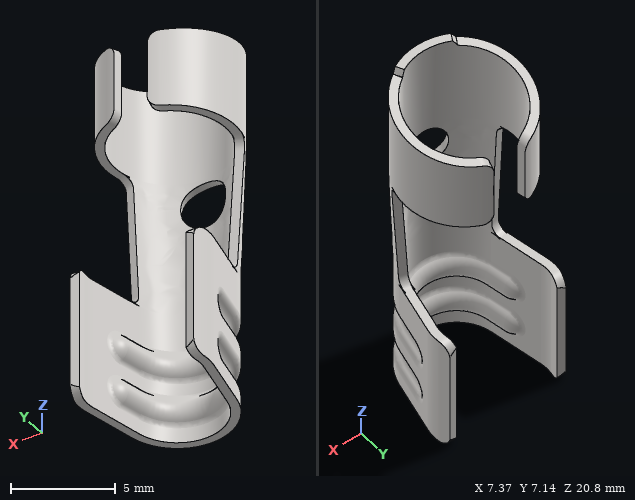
import cadquery as cq
import math


SHEET = 0.5
TOTAL_HEIGHT = 20.75

RING_RADIUS = 3.63
RING_BOTTOM = 14.96
RING_GAP_HALF_ANGLE = 15.0
RING_CORNER = 0.62
RING_TOP_ON_AXIS = 19.92
RING_TOP_SLOPE = 10.0

TAB_HALF_ANGLE = 27.7
TAB_FOOT_HALF_ANGLE = 31.8
TAB_FOOT_Z = 20.44

BARREL_HEIGHT = 7.39
BARREL_RADIUS = 3.05
BARREL_CENTER_Y = BARREL_RADIUS - RING_RADIUS
WALL_FLARE = 12.0
BEND_START_Y = 1.83
BEND_RADIUS = 2.5
WING_TIP_LENGTH = 0.55
WING_CORNER = 0.75

NECK_TOP_HALF_ANGLE = 84.0
NECK_BOTTOM_HALF_ANGLE = 93.0
NECK_FILLET = 0.6
HOLE_Z = 13.49
HOLE_HALF_HEIGHT = 1.27
HOLE_HALF_ANGLE = 24.0

BEAD_HEIGHTS = (1.76, 4.32)
GROOVE_DEPTH = SHEET
GROOVE_RADIUS = 0.58
GROOVE_END_Y = 0.45
LIP_RADIUS = 0.5

BEAD_RISE = SHEET
BEAD_RADIUS = 0.83
BEAD_END_Y = 0.0
ROOT_RADIUS = 0.31

WEDGE_NEAR = 0.4 * RING_RADIUS
WEDGE_FAR = 1.2 * RING_RADIUS
BLOCK = 4 * RING_RADIUS
PICK = 0.06

flare = math.radians(WALL_FLARE)


def polar(radius, degrees_from_front, center_y=0.0):
    """Point on a circle, with the angle counted from the -Y direction towards +X."""
    angle = math.radians(degrees_from_front)
    return (radius * math.sin(angle), center_y - radius * math.cos(angle))


def mirrored(point):
    """The same point on the other side of the YZ plane."""
    return (-point[0], point[1])


def arc_band(workplane, radius, half_angle, center_y=0.0):
    """Sheet-thick arc, centred on the -Y side and cut off radially at both ends."""
    inner = radius - SHEET
    right_out = polar(radius, half_angle, center_y)
    right_in = polar(inner, half_angle, center_y)
    return (
        workplane.moveTo(*mirrored(right_out))
        .threePointArc((0, center_y - radius), right_out)
        .lineTo(*right_in)
        .threePointArc((0, center_y - inner), mirrored(right_in))
        .close()
    )


def wall_tangent(inset):
    """Point where the bottom arc of the barrel, moved inwards by inset, runs into the right wall."""
    return polar(BARREL_RADIUS - inset, 90 - WALL_FLARE, BARREL_CENTER_Y)


def wall_point(inset, y):
    """Point at y on the flared straight wall, the wall being moved inwards by inset."""
    tangent_x, tangent_y = wall_tangent(inset)
    return (tangent_x + (y - tangent_y) * math.tan(flare), y)


def barrel_side(inset):
    """Right-hand points of the barrel outline, from the bottom arc to the wing tip."""
    start_x, start_y = wall_point(0, BEND_START_Y)
    center_x = start_x - BEND_RADIUS * math.cos(flare)
    center_y = start_y + BEND_RADIUS * math.sin(flare)
    radius = BEND_RADIUS - inset
    reach = radius * math.cos(flare)
    rise = radius * math.sin(flare)
    tangent = wall_tangent(inset)
    bend_start = (center_x + reach, center_y - rise)
    bend_middle = (center_x + radius, center_y)
    bend_end = (center_x + reach, center_y + rise)
    tip = (
        bend_end[0] - WING_TIP_LENGTH * math.sin(flare),
        bend_end[1] + WING_TIP_LENGTH * math.cos(flare),
    )
    return tangent, bend_start, bend_middle, bend_end, tip


def barrel_outline(inset):
    """Open U drawn from the left wing tip round to the right wing tip."""
    tangent, bend_start, bend_middle, bend_end, tip = barrel_side(inset)
    return (
        cq.Workplane("XY")
        .moveTo(*mirrored(tip))
        .lineTo(*mirrored(bend_end))
        .threePointArc(mirrored(bend_middle), mirrored(bend_start))
        .lineTo(*mirrored(tangent))
        .threePointArc((0, BARREL_CENTER_Y - BARREL_RADIUS + inset), tangent)
        .lineTo(*bend_start)
        .threePointArc(bend_middle, bend_end)
        .lineTo(*tip)
    )


def wall_rod(z, radius, inset, end_y):
    """Ball-ended rod following the barrel wall at height z, its axis lying inset inside the wall."""
    end = wall_point(inset, end_y)
    tangent = wall_tangent(inset)
    path = (
        cq.Workplane("XY", origin=(0, 0, z))
        .moveTo(*mirrored(end))
        .lineTo(*mirrored(tangent))
        .threePointArc((0, BARREL_CENTER_Y - BARREL_RADIUS + inset), tangent)
        .lineTo(*end)
    )
    start_plane = cq.Plane(
        origin=(-end[0], end[1], z),
        xDir=(0, 0, 1),
        normal=(math.sin(flare), -math.cos(flare), 0),
    )
    rod = cq.Workplane(start_plane).circle(radius).sweep(path)
    for x in (-end[0], end[0]):
        rod = rod.union(cq.Workplane("XY").sphere(radius).translate((x, end[1], z)))
    return rod


def round_front_arcs(body, arc_radius, z, reach, radius):
    """Fillet the arcs of arc_radius around the barrel axis within reach of height z.

    The fillet runs on along the tangent edges round the ball ends.
    """
    half_angle = math.pi / 2 - flare
    y = BARREL_CENTER_Y - arc_radius * math.sin(half_angle) / half_angle
    arcs = cq.selectors.BoxSelector((-PICK, y - PICK, z - reach), (PICK, y + PICK, z + reach))
    return body.edges(arcs).fillet(radius)


def make_barrel():
    """U-shaped wings with rounded corners and two pressed-in beads."""
    outer_tip = barrel_side(0)[-1]
    filled = barrel_outline(0).close().extrude(BARREL_HEIGHT)
    cavity = (
        barrel_outline(SHEET)
        .lineTo(*outer_tip)
        .lineTo(*mirrored(outer_tip))
        .close()
        .extrude(BARREL_HEIGHT)
    )
    depth = RING_RADIUS + outer_tip[1]
    side_shape = (
        cq.Workplane("XY")
        .box(BLOCK, depth, BARREL_HEIGHT, centered=(True, False, False))
        .translate((0, -RING_RADIUS, 0))
        .edges("|X and >Y")
        .fillet(WING_CORNER)
    )
    barrel = filled.cut(cavity).intersect(side_shape)
    for z in BEAD_HEIGHTS:
        bead = wall_rod(z, BEAD_RADIUS, SHEET + BEAD_RISE - BEAD_RADIUS, BEAD_END_Y)
        barrel = barrel.union(bead).intersect(filled)
        barrel = round_front_arcs(barrel, BARREL_RADIUS - SHEET, z, BEAD_RADIUS, ROOT_RADIUS)
    for z in BEAD_HEIGHTS:
        barrel = barrel.cut(wall_rod(z, GROOVE_RADIUS, GROOVE_DEPTH - GROOVE_RADIUS, GROOVE_END_Y))
        barrel = round_front_arcs(barrel, BARREL_RADIUS, z, GROOVE_RADIUS, LIP_RADIUS)
    return barrel


def radial_wedge(outline):
    """Solid through the front wall whose width grows with the distance from the ring axis."""
    sketch = outline(cq.Workplane("XZ", origin=(0, -WEDGE_NEAR, 0)), WEDGE_NEAR)
    far_plane = sketch.workplane(offset=WEDGE_FAR - WEDGE_NEAR)
    return outline(far_plane, WEDGE_FAR).loft(ruled=True)


def tab_outline(workplane, distance):
    """Tab with slanted shoulders, as wide as it is at this distance in front of the ring axis."""
    top = distance * math.tan(math.radians(TAB_HALF_ANGLE))
    foot = distance * math.tan(math.radians(TAB_FOOT_HALF_ANGLE))
    right = [(foot, RING_BOTTOM), (foot, TAB_FOOT_Z), (top, TOTAL_HEIGHT)]
    left = [mirrored(point) for point in reversed(right)]
    return workplane.polyline(right + left).close()


def hole_outline(workplane, distance):
    """Neck hole, as wide as it is at this distance in front of the ring axis."""
    half_width = distance * math.tan(math.radians(HOLE_HALF_ANGLE))
    return workplane.moveTo(0, HOLE_Z).ellipse(half_width, HOLE_HALF_HEIGHT)


def make_ring():
    """Split ring with a sloping top, rounded corners at the gap and a raised tab at the front."""
    base = cq.Workplane("XY", origin=(0, 0, RING_BOTTOM))
    blank = arc_band(base, RING_RADIUS, 180 - RING_GAP_HALF_ANGLE).extrude(TOTAL_HEIGHT - RING_BOTTOM)
    above_top = (
        cq.Workplane("XY")
        .box(BLOCK, BLOCK, BLOCK, centered=(True, True, False))
        .rotate((0, 0, 0), (1, 0, 0), -RING_TOP_SLOPE)
        .translate((0, 0, RING_TOP_ON_AXIS))
    )
    gap_x = polar(RING_RADIUS, 180 - RING_GAP_HALF_ANGLE)[0]
    gap = cq.selectors.BoxSelector((-gap_x, 0, 0), (gap_x, BLOCK, TOTAL_HEIGHT))
    ring = blank.cut(above_top).edges(gap).edges("not |Z").fillet(RING_CORNER)
    return ring.union(blank.intersect(radial_wedge(tab_outline)))


def opening_outline(workplane, x):
    """Opening beside the neck at distance x from the YZ plane, with arcs at its two neck corners."""
    edge = BARREL_CENTER_Y - x * math.tan(flare)
    fillet_end = edge + NECK_FILLET
    low = BARREL_HEIGHT + NECK_FILLET
    high = RING_BOTTOM - NECK_FILLET
    bulge = NECK_FILLET * (1 - math.sqrt(0.5))
    return (
        workplane.moveTo(edge, low)
        .lineTo(edge, high)
        .threePointArc((edge + bulge, RING_BOTTOM - bulge), (fillet_end, RING_BOTTOM))
        .lineTo(RING_RADIUS, RING_BOTTOM)
        .lineTo(RING_RADIUS, BARREL_HEIGHT)
        .lineTo(fillet_end, BARREL_HEIGHT)
        .threePointArc((edge + bulge, BARREL_HEIGHT + bulge), (edge, low))
        .close()
    )


def neck_opening():
    """Cutter right of the neck; its edge plane passes through the axis of the barrel arc."""
    sketch = opening_outline(cq.Workplane("YZ", origin=(WEDGE_NEAR, 0, 0)), WEDGE_NEAR)
    far_plane = sketch.workplane(offset=WEDGE_FAR - WEDGE_NEAR)
    return opening_outline(far_plane, WEDGE_FAR).loft(ruled=True)


def make_neck():
    """Tapered half-round strip from the barrel to the ring, trimmed at both sides and pierced."""
    lower = cq.Workplane("XY", origin=(0, 0, BARREL_HEIGHT))
    sketch = arc_band(lower, BARREL_RADIUS, NECK_BOTTOM_HALF_ANGLE, BARREL_CENTER_Y)
    upper = sketch.workplane(offset=RING_BOTTOM - BARREL_HEIGHT)
    neck = arc_band(upper, RING_RADIUS, NECK_TOP_HALF_ANGLE).loft(ruled=True)
    opening = neck_opening()
    return neck.cut(opening).cut(opening.mirror("YZ")).cut(radial_wedge(hole_outline))


result = make_barrel().union(make_neck()).union(make_ring())